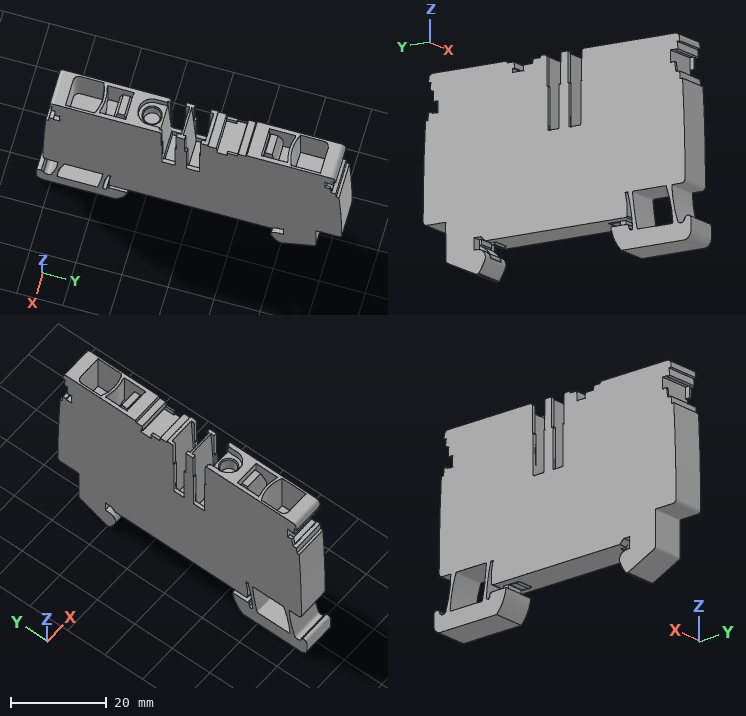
import cadquery as cq

width = 8.05
height = 45.15
mid_y = 0.7
half_length = 32.5
shoulder_z = 12.4
rail_face_z = 7.0
half_width = width / 2
front_y = mid_y - half_length

left_skin = 0.65
right_skin = 0.43
end_groove_floor = 28.8
end_groove_ledge = 30.2
end_groove_bottom = 36.45
end_groove_split = 39.0
end_groove_top = 41.65
top_groove_front, top_groove_split, top_groove_back = 6.05, 8.3, 10.5
top_groove_floor = 42.45
undercut_back = 10.95
undercut_top = 43.3

slot_floor = 28.6
slot_step_z = 38.25
back_wall_y = 2.45
front_wall_y = -6.1
slot_floor_radius = 0.25
slot_lead_in = 0.65
cavity_floor = 26.55
cavity_half_width = 3.2

entry_mid_y = 0.7
funnel_half_width = 3.5
funnel_inner = 21.4
funnel_outer = 27.7
funnel_depth = 9.95
funnel_corner = 1.25
funnel_bulge = 0.8
bulge_floor = 0.05
partition = 0.6
window_half_width = 3.1
window_inner = 14.75
window_outer = 20.4
window_depth = 8.0
clamp_drop = 0.65
clamp_slope_drop = 3.3
clamp_base_half_width = 3.0
clamp_base_length = 2.9
clamp_top_width = 4.4
clamp_top_length = 1.5
clamp_top_x = -0.1
clamp_top_offset = 0.5

screw_y = -9.15
seat_radius = 2.9
seat_depth = 2.0
seat_open_y = -5.9
screw_radius = 1.85
screw_depth = 3.3
screw_chamfer = 0.25

rib_width = 4.0
corner_radius = 0.85
foot_top_z = 5.45
foot_front_y = -33.2
foot_toe_radius = 1.85
foot_lip_z = 5.25
foot_lip_radius = 0.8
foot_window_floor = 4.05
foot_window_radius = 0.3
hook_back_y = 27.55
leg_root_y = -28.5
leg_root_radius = 0.25
overlap = 0.3


def plate(sketch, thickness=width):
    """Extrude a closed YZ outline symmetrically about X = 0."""
    return sketch.extrude(thickness / 2, both=True)


def outline(start):
    """Begin a YZ outline at the given (Y, Z) point."""
    return cq.Workplane("YZ").moveTo(*start)


def box(x_range, y_range, z_range):
    """Axis-aligned box given by its limits."""
    size = [high - low for low, high in (x_range, y_range, z_range)]
    corner = (x_range[0], y_range[0], z_range[0])
    return cq.Workplane("XY").box(*size, centered=False).translate(corner)


def mirrored(solid, plane_y):
    """Copy of a solid on the other side of the plane Y = plane_y."""
    return solid.mirror("XZ", (0, plane_y, 0))


def half_housing():
    """Front half of the housing, with stepped marker ledges on the end face."""
    steps = [
        (31.9, 35.05), (31.3, 35.1), (31.15, 36.7), (30.2, 36.85), (29.9, 39.0),
        (29.9, 41.2), (30.75, 41.6), (30.55, 43.2), (31.15, 43.3), (31.1, 44.1),
    ]
    top_round = 1.05
    profile = outline((mid_y, shoulder_z))
    profile = profile.lineTo(front_y + corner_radius, shoulder_z)
    profile = profile.radiusArc((front_y, shoulder_z + corner_radius), corner_radius)
    profile = profile.tangentArcPoint((mid_y - steps[0][0], steps[0][1]), relative=False)
    for offset, z in steps[1:]:
        profile = profile.lineTo(mid_y - offset, z)
    profile = profile.radiusArc((mid_y - steps[-1][0] + top_round, height), top_round)
    profile = profile.lineTo(mid_y, height)
    return plate(profile.close())


def rail_side():
    """Lower middle block with the fixed rail hook at the back."""
    profile = (
        outline((-16.95, shoulder_z + overlap))
        .lineTo(-16.95, shoulder_z)
        .lineTo(-17.3, 10.2)
        .lineTo(-17.4, 7.25)
        .lineTo(-17.15, rail_face_z)
        .lineTo(17.8, rail_face_z)
        .lineTo(18.9, 8.05)
        .lineTo(20.5, 8.05)
        .lineTo(20.5, 5.4)
        .lineTo(19.4, 5.4)
        .threePointArc((18.6, 5.05), (17.9, 4.4))
        .threePointArc((17.7, 3.7), (17.9, 2.7))
        .threePointArc((18.5, 1.45), (19.4, 0.2))
        .lineTo(19.65, 0.05)
        .lineTo(20.05, 0.05)
        .lineTo(27.15, 3.45)
        .threePointArc((27.4, 3.65), (hook_back_y, 4.0))
        .lineTo(hook_back_y, shoulder_z - leg_root_radius)
        .radiusArc((hook_back_y + leg_root_radius, shoulder_z), leg_root_radius)
        .lineTo(hook_back_y + leg_root_radius, shoulder_z + overlap)
    )
    return plate(profile.close())


def rail_ribs():
    """Central rib details: hook contact, two feet on the rail face and the foot stop."""
    hook = (
        outline((20.9, 8.05))
        .lineTo(20.0, 8.05)
        .lineTo(20.0, 7.0)
        .lineTo(20.4, 6.8)
        .threePointArc((19.05, 5.9), (17.8, 4.6))
        .lineTo(17.65, 3.7)
        .lineTo(18.6, 3.0)
        .lineTo(20.9, 4.65)
    )
    back_bump = outline((18.8, 8.05)).lineTo(17.5, 6.6).lineTo(16.9, 6.6)
    back_bump = back_bump.lineTo(16.4, rail_face_z).lineTo(16.4, 8.05)
    front_bump = outline((-11.55, 7.65)).lineTo(-11.55, 6.9).lineTo(-12.15, 6.65).lineTo(-12.9, 6.8)
    front_bump = front_bump.lineTo(-14.1, 6.8).lineTo(-14.3, 7.65)
    stop = outline((-14.4, 7.65)).lineTo(-14.4, 5.7).lineTo(-14.15, 5.3).lineTo(-15.8, 5.3).lineTo(-15.8, 7.65)
    ribs = plate(hook.close(), rib_width)
    for rib in (back_bump, front_bump, stop):
        ribs = ribs.union(plate(rib.close(), rib_width))
    return ribs


def sprung_foot():
    """Rail foot hanging from the front shoulder on two curved spring legs."""
    profile = (
        outline((-17.5, shoulder_z + overlap))
        .lineTo(-17.5, shoulder_z)
        .threePointArc((-18.25, 8.95), (-18.7, 4.65))
        .threePointArc((-18.3, 4.1), (-17.9, 4.6))
        .lineTo(-17.65, 5.25)
        .lineTo(-17.4, foot_top_z)
        .lineTo(-13.35, foot_top_z)
        .threePointArc((-14.1, 2.8), (-15.95, 0))
        .lineTo(foot_front_y + foot_toe_radius, 0)
        .radiusArc((foot_front_y, foot_toe_radius), foot_toe_radius)
        .lineTo(foot_front_y, foot_lip_z - foot_lip_radius)
        .radiusArc((foot_front_y + foot_lip_radius, foot_lip_z), foot_lip_radius)
        .lineTo(-32.1, foot_lip_z)
        .lineTo(-31.6, 4.7)
        .threePointArc((-30.75, 3.85), (-29.95, 4.3))
        .threePointArc((-28.95, 8.2), (leg_root_y, shoulder_z - leg_root_radius))
        .radiusArc((leg_root_y - leg_root_radius, shoulder_z), -leg_root_radius)
        .lineTo(leg_root_y - leg_root_radius, shoulder_z + overlap)
    )
    window = (
        outline((-18.7, shoulder_z))
        .threePointArc((-19.2, 8.2), (-19.9, foot_window_floor))
        .lineTo(-28.7, foot_window_floor)
        .threePointArc((-28.15, 8.4), (-27.0, shoulder_z))
    )
    opening = plate(window.close()).edges("|X").fillet(foot_window_radius)
    return plate(profile.close()).cut(opening)


def keyed_groove(left_open, right_open):
    """Groove floor relief: one half opens to -X, the other to +X, leaving a skin opposite."""
    toward_left = box((-half_width, half_width - right_skin), *left_open)
    toward_right = box((left_skin - half_width, half_width), *right_open)
    return toward_left.union(toward_right)


def marker_grooves():
    """Keyed marker grooves on both end faces and in the top recess."""
    lower = (end_groove_bottom, end_groove_split)
    upper = (end_groove_split, end_groove_top)
    front = (mid_y - end_groove_ledge, mid_y - end_groove_floor)
    back = (mid_y + end_groove_floor, mid_y + end_groove_ledge)
    top = (top_groove_floor, height)
    grooves = keyed_groove((front, upper), (front, lower))
    grooves = grooves.union(keyed_groove((back, lower), (back, upper)))
    top_halves = (
        ((top_groove_split, top_groove_back), top),
        ((top_groove_front, top_groove_split), top),
    )
    undercut = box(
        (-half_width, half_width - right_skin),
        (top_groove_split, undercut_back),
        (top_groove_floor, undercut_top),
    )
    return grooves.union(keyed_groove(*top_halves)).union(undercut)


def top_recess():
    """Stepped recess across the full width, above the top marker groove."""
    profile = (
        outline((12.55, height))
        .lineTo(12.3, 44.7)
        .lineTo(10.7, 44.7)
        .lineTo(10.5, 43.7)
        .lineTo(6.1, 43.7)
        .lineTo(5.9, 44.7)
        .lineTo(4.1, 44.7)
        .lineTo(4.1, height)
    )
    return plate(profile.close())


def bridge_slot(skin_top, skin_bottom, cavity_top, cavity_bottom):
    """Jumper slot: stepped gap in the side skins, tapered cavity between.

    Each argument is a (back Y, front Y) pair.
    """
    gap = outline((skin_top[0], height)).lineTo(skin_top[0], slot_step_z)
    gap = gap.lineTo(skin_bottom[0], slot_step_z).lineTo(skin_bottom[0], slot_floor)
    gap = gap.lineTo(skin_bottom[1], slot_floor).lineTo(skin_bottom[1], slot_step_z)
    gap = gap.lineTo(skin_top[1], slot_step_z).lineTo(skin_top[1], height)
    skin_gap = plate(gap.close()).edges("|X and <Z").fillet(slot_floor_radius)
    cavity = outline((cavity_top[0], height)).lineTo(cavity_bottom[0], cavity_floor)
    cavity = cavity.lineTo(cavity_bottom[1], cavity_floor).lineTo(cavity_top[1], height)
    return skin_gap.union(plate(cavity.close(), 2 * cavity_half_width))


def slot_rounding(wall_y, outward):
    """Rounding of a slot wall at the housing top; outward is +1 or -1 along Y."""
    far_y = wall_y + outward * slot_lead_in
    corner = outline((wall_y, height)).lineTo(wall_y, height - slot_lead_in)
    corner = corner.radiusArc((far_y, height), outward * slot_lead_in)
    return plate(corner.close())


def funnel_bulge_section(z_drop, bulge):
    """Closed arc segment on the inner funnel wall, z_drop below the housing top."""
    section = cq.Workplane("XY", origin=(0, entry_mid_y + funnel_inner, height - z_drop))
    section = section.moveTo(-funnel_half_width, 0).threePointArc((0, -bulge), (funnel_half_width, 0))
    return section.close().val()


def spring_clamp(start_y):
    """Block standing at the inner end of a window, tapering on all sides toward its top."""
    slope_z = height - clamp_drop - clamp_slope_drop
    base_x = (-clamp_base_half_width, clamp_base_half_width)
    base = box(base_x, (start_y, start_y + clamp_base_length), (height - window_depth, slope_z))
    base_center = start_y + clamp_base_length / 2
    top_center = start_y + clamp_top_offset + clamp_top_length / 2
    slopes = (
        cq.Workplane("XY", origin=(0, base_center, slope_z))
        .rect(2 * clamp_base_half_width, clamp_base_length)
        .workplane(offset=clamp_slope_drop)
        .center(clamp_top_x, top_center - base_center)
        .rect(clamp_top_width, clamp_top_length)
        .loft(ruled=True)
    )
    return base.union(slopes)


def conductor_entry():
    """Back-end conductor funnel and spring window, leaving the clamp standing."""
    inner_y = entry_mid_y + funnel_inner
    funnel = box(
        (-funnel_half_width, funnel_half_width),
        (inner_y, entry_mid_y + funnel_outer),
        (height - funnel_depth, height),
    ).edges("|Z and <X and >Y").fillet(funnel_corner)

    sections = [funnel_bulge_section(funnel_depth, bulge_floor), funnel_bulge_section(0, funnel_bulge)]
    relief = cq.Workplane(cq.Solid.makeLoft(sections, True))

    start_y = entry_mid_y + window_inner
    window = box(
        (-window_half_width, window_half_width),
        (start_y, entry_mid_y + window_outer),
        (height - window_depth, height),
    )

    bulge_radius = (funnel_half_width**2 + funnel_bulge**2) / (2 * funnel_bulge)
    bulge_center = inner_y - funnel_bulge + bulge_radius
    wall = cq.Workplane("XY").center(0, bulge_center).circle(bulge_radius + partition).extrude(height)
    window = window.cut(wall)
    return funnel.union(relief).union(window.cut(spring_clamp(start_y)))


def screw_seat():
    """U-shaped seat open to the front bridge slot, with a chamfered screw hole."""
    seat_z = height - seat_depth
    seat = cq.Workplane("XY", origin=(0, screw_y, seat_z)).circle(seat_radius).extrude(seat_depth)
    seat = seat.union(box((-seat_radius, seat_radius), (screw_y, seat_open_y), (seat_z, height)))
    hole = cq.Workplane("XY", origin=(0, screw_y, seat_z)).circle(screw_radius).extrude(-screw_depth)
    rim_base = cq.Vector(0, screw_y, seat_z - screw_chamfer)
    rim = cq.Solid.makeCone(screw_radius, screw_radius + screw_chamfer, screw_chamfer, rim_base)
    return seat.union(hole).union(cq.Workplane(rim))


front_half = half_housing()
entry = conductor_entry()
back_slot = bridge_slot((back_wall_y, -0.9), (2.25, -0.5), (3.3, -1.45), (2.25, -0.45))
front_slot = bridge_slot((-2.8, front_wall_y), (-3.0, -5.9), (-1.9, -6.7), (-3.05, -5.65))

result = front_half.union(mirrored(front_half, mid_y))
for lower_part in (rail_side(), sprung_foot(), rail_ribs()):
    result = result.union(lower_part)
cutters = (
    marker_grooves(),
    top_recess(),
    back_slot,
    front_slot,
    slot_rounding(back_wall_y, 1),
    slot_rounding(front_wall_y, -1),
    entry,
    mirrored(entry, entry_mid_y),
    screw_seat(),
)
for cutter in cutters:
    result = result.cut(cutter)